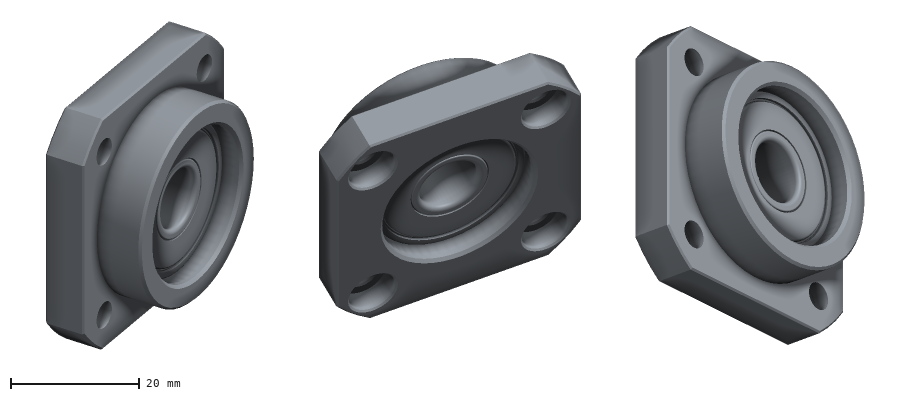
import cadquery as cq
import math


FLANGE_SIDE = 42.0
FLANGE_THICKNESS = 7.0
CORNER_RADIUS = 26.0
HOUSING_LENGTH = 15.0
BOSS_RADIUS = 17.0
BOSS_CHAMFER = 0.4
EDGE_BREAK = 0.3

BOLT_CIRCLE_RADIUS = 21.0
BOLT_HOLE_RADIUS = 2.25
COUNTERBORE_RADIUS = 4.0
COUNTERBORE_DEPTH = 4.0
BOLT_ANGLES = (45, 135, 225, 315)

BEARING_RADIUS = 13.0
BEARING_WIDTH = 8.02
BEARING_START = (HOUSING_LENGTH - BEARING_WIDTH) / 2
BEARING_MIDDLE = HOUSING_LENGTH / 2
SEAT_CHAMFER = 0.5
OUTER_RING_BORE_RADIUS = 11.9
OUTER_RING_ROUND = 0.3
INNER_RING_RADIUS = 6.55
INNER_RING_ROUND = 0.2
SHAFT_BORE_RADIUS = 5.0
SHAFT_BORE_ROUND = 0.75

SHIELD_THICKNESS = 1.0
SHIELD_FACE_INNER_RADIUS = 6.75
SHIELD_EDGE_ROUND = 0.38
SHIELD_FACE_OUTER_RADIUS = 11.05
SHIELD_LEDGE_DEPTH = 0.5
BEAD_RADIUS = 0.145
BEAD_CENTRE_RADIUS = 11.65


def disc(radius, start, length):
    """Solid cylinder on the X axis."""
    return cq.Workplane("YZ").workplane(offset=start).circle(radius).extrude(length)


def ring(outer_radius, inner_radius):
    """Plain bearing ring spanning the bearing width."""
    blank = disc(outer_radius, BEARING_START, BEARING_WIDTH)
    return blank.cut(disc(inner_radius, BEARING_START, BEARING_WIDTH))


def make_flange():
    square = cq.Workplane("YZ").rect(FLANGE_SIDE, FLANGE_SIDE).extrude(FLANGE_THICKNESS)
    flange = square.intersect(disc(CORNER_RADIUS, 0, FLANGE_THICKNESS))
    return flange.faces("<X or >X").chamfer(EDGE_BREAK)


def make_bolt_hole(angle):
    """Cutter for one counterbored hole with broken edges at its mouth and floor."""
    mouth_radius = COUNTERBORE_RADIUS + EDGE_BREAK
    floor_radius = BOLT_HOLE_RADIUS + EDGE_BREAK
    profile = (
        cq.Workplane("XY")
        .moveTo(0, 0)
        .lineTo(0, mouth_radius)
        .lineTo(EDGE_BREAK, COUNTERBORE_RADIUS)
        .lineTo(COUNTERBORE_DEPTH, COUNTERBORE_RADIUS)
        .lineTo(COUNTERBORE_DEPTH, floor_radius)
        .lineTo(COUNTERBORE_DEPTH + EDGE_BREAK, BOLT_HOLE_RADIUS)
        .lineTo(FLANGE_THICKNESS, BOLT_HOLE_RADIUS)
        .lineTo(FLANGE_THICKNESS, 0)
        .close()
    )
    cutter = profile.revolve(360, (0, 0, 0), (1, 0, 0))
    y = BOLT_CIRCLE_RADIUS * math.cos(math.radians(angle))
    z = BOLT_CIRCLE_RADIUS * math.sin(math.radians(angle))
    return cutter.translate((0, y, z))


def make_housing():
    boss = disc(BOSS_RADIUS, 0, HOUSING_LENGTH).faces(">X").chamfer(BOSS_CHAMFER)
    housing = make_flange().union(boss)
    housing = housing.cut(disc(BEARING_RADIUS, 0, HOUSING_LENGTH))
    seat_mouths = cq.selectors.RadiusNthSelector(0)
    housing = housing.faces("<X or >X").edges(seat_mouths).chamfer(SEAT_CHAMFER)
    for angle in BOLT_ANGLES:
        housing = housing.cut(make_bolt_hole(angle))
    return housing


def round_end_edges(bearing_ring, edge_index, radius):
    """Round the innermost (0) or outermost (-1) circle on both end faces."""
    end_circles = bearing_ring.faces("<X or >X").edges()
    return end_circles.edges(cq.selectors.RadiusNthSelector(edge_index)).fillet(radius)


def make_outer_ring():
    return round_end_edges(ring(BEARING_RADIUS, OUTER_RING_BORE_RADIUS), -1, OUTER_RING_ROUND)


def make_inner_ring():
    inner_ring = round_end_edges(ring(INNER_RING_RADIUS, SHAFT_BORE_RADIUS), -1, INNER_RING_ROUND)
    return round_end_edges(inner_ring, 0, SHAFT_BORE_ROUND)


def make_front_shield():
    """Plate between the rings: raised face with a rounded outer edge, inner ledge and beaded outer ledge."""
    front = BEARING_START
    back = front + SHIELD_THICKNESS
    ledge = front + SHIELD_LEDGE_DEPTH
    edge_depth = front + SHIELD_EDGE_ROUND
    edge_radius = SHIELD_FACE_OUTER_RADIUS + SHIELD_EDGE_ROUND
    round_reach = SHIELD_EDGE_ROUND * math.sqrt(0.5)
    edge_middle = (edge_depth - round_reach, SHIELD_FACE_OUTER_RADIUS + round_reach)
    bead_top = (ledge - BEAD_RADIUS, BEAD_CENTRE_RADIUS)
    profile = (
        cq.Workplane("XY")
        .moveTo(back, INNER_RING_RADIUS)
        .lineTo(ledge, INNER_RING_RADIUS)
        .lineTo(ledge, SHIELD_FACE_INNER_RADIUS)
        .lineTo(front, SHIELD_FACE_INNER_RADIUS)
        .lineTo(front, SHIELD_FACE_OUTER_RADIUS)
        .threePointArc(edge_middle, (edge_depth, edge_radius))
        .lineTo(ledge, edge_radius)
        .lineTo(ledge, BEAD_CENTRE_RADIUS - BEAD_RADIUS)
        .threePointArc(bead_top, (ledge, BEAD_CENTRE_RADIUS + BEAD_RADIUS))
        .lineTo(ledge, OUTER_RING_BORE_RADIUS)
        .lineTo(back, OUTER_RING_BORE_RADIUS)
        .close()
    )
    return profile.revolve(360, (0, 0, 0), (1, 0, 0))


def make_shields():
    """One shield on each side of the bearing, mirrored about its middle plane."""
    shields = []
    for is_rear in (False, True):
        shield = make_front_shield()
        if is_rear:
            shield = shield.mirror("YZ", (BEARING_MIDDLE, 0, 0))
        shields.append(shield.val())
    return shields


housing = make_housing()
outer_ring = make_outer_ring()
inner_ring = make_inner_ring()
shields = make_shields()

result = cq.Compound.makeCompound([housing.val(), outer_ring.val(), inner_ring.val(), *shields])